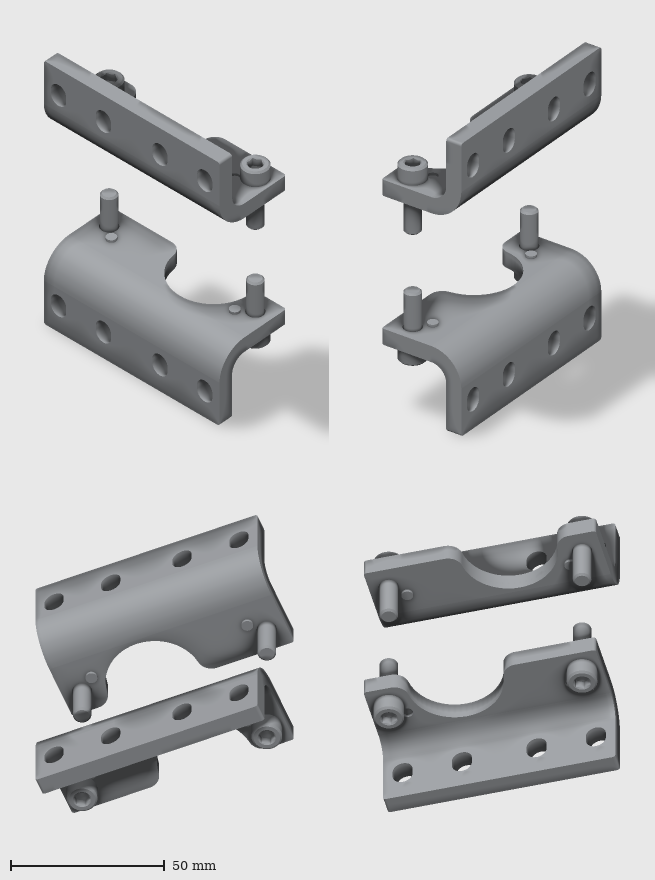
import cadquery as cq
import math


total_height = 110.0
width = 78.0
depth = 32.0

leg_height = 30.0
thickness = 6.0
inner_bend_radius = 5.9
corner_radius = 1.0

slot_width = 6.7
slot_length = 8.7
slot_from_leg_end = 11.0
outer_slot_x = 32.5
inner_slot_x = 12.5

notch_radius = 16.1
notch_offset = 9.0
notch_depth = 18.6
notch_lip_radius = 5.0

stud_diameter = 3.8
stud_height = 1.0
stud_x = 27.4
stud_from_edge = 12.2

screw_x = outer_slot_x
screw_from_edge = 7.8
clearance_diameter = 6.6
shaft_diameter = 6.0
shaft_length = 20.0
shaft_chamfer = 0.7
head_diameter = 10.0
head_height = 6.0
head_chamfer = 0.7
socket_sides = 6
socket_across_flats = 5.0
socket_depth = 3.3
socket_tip_angle = 120.0
mouth_diameter = 5.9
mouth_angle = 90.0

outer_bend_radius = inner_bend_radius + thickness
flange_bottom = total_height / 2 - leg_height
flange_top = flange_bottom + thickness
slot_z = total_height / 2 - slot_from_leg_end
stud_y = depth - stud_from_edge
screw_y = depth - screw_from_edge


def angle_profile():
    """Constant-thickness L section: upright leg, bend and horizontal flange, extruded along X."""
    bend_start_z = flange_bottom + outer_bend_radius
    bend_middle = outer_bend_radius * (1 - math.sqrt(0.5))
    inner_bend_middle = outer_bend_radius - inner_bend_radius * math.sqrt(0.5)
    section = (
        cq.Workplane("YZ")
        .moveTo(0, total_height / 2)
        .lineTo(0, bend_start_z)
        .threePointArc((bend_middle, flange_bottom + bend_middle), (outer_bend_radius, flange_bottom))
        .lineTo(depth, flange_bottom)
        .lineTo(depth, flange_top)
        .lineTo(outer_bend_radius, flange_top)
        .threePointArc((inner_bend_middle, flange_bottom + inner_bend_middle), (thickness, bend_start_z))
        .lineTo(thickness, total_height / 2)
        .close()
    )
    plate = section.extrude(width / 2, both=True)
    flange_corners = plate.faces(">Y").edges("|Z")
    leg_corners = plate.faces(">Z").edges("|Y")
    return flange_corners.add(leg_corners).fillet(corner_radius)


def notch_cutter():
    """Circular notch whose two lips roll smoothly into the free edge of the flange."""
    center_y = depth - notch_depth + notch_radius
    lip_y = depth - notch_lip_radius
    center_distance = notch_radius + notch_lip_radius
    lip_reach = math.sqrt(center_distance**2 - (lip_y - center_y) ** 2)
    tangent_share = notch_radius / center_distance
    tangent_x = lip_reach * tangent_share
    tangent_y = center_y + (lip_y - center_y) * tangent_share
    edge_angle = math.pi / 2
    notch_angle = math.pi + math.atan2(lip_y - center_y, lip_reach)
    middle_angle = (edge_angle + notch_angle) / 2
    lip_middle_x = lip_reach + notch_lip_radius * math.cos(middle_angle)
    lip_middle_y = lip_y + notch_lip_radius * math.sin(middle_angle)
    return (
        cq.Workplane("XY", origin=(-notch_offset, 0, flange_bottom))
        .moveTo(lip_reach, depth)
        .threePointArc((lip_middle_x, lip_middle_y), (tangent_x, tangent_y))
        .threePointArc((0, depth - notch_depth), (-tangent_x, tangent_y))
        .threePointArc((-lip_middle_x, lip_middle_y), (-lip_reach, depth))
        .close()
        .extrude(thickness)
    )


def flange_cylinders(x, y, bottom_z, diameter, height):
    """Two upright cylinders, mirrored about the middle of the bracket."""
    return (
        cq.Workplane("XY", origin=(0, 0, bottom_z))
        .pushPoints([(-x, y), (x, y)])
        .circle(diameter / 2)
        .extrude(height)
    )


def make_bracket():
    """Upper angle bracket with slots, notch, screw holes and half-punched studs."""
    slots = (
        cq.Workplane("XZ")
        .pushPoints([(x, slot_z) for x in (-outer_slot_x, -inner_slot_x, inner_slot_x, outer_slot_x)])
        .slot2D(slot_length, slot_width, 90)
        .extrude(-thickness)
    )
    screw_holes = flange_cylinders(screw_x, screw_y, flange_bottom, clearance_diameter, thickness)
    studs = flange_cylinders(stud_x, stud_y, flange_bottom - stud_height, stud_diameter, stud_height)
    stud_recesses = flange_cylinders(stud_x, stud_y, flange_top - stud_height, stud_diameter, stud_height)
    return (
        angle_profile()
        .cut(slots)
        .cut(notch_cutter())
        .cut(screw_holes)
        .cut(stud_recesses)
        .union(studs)
    )


def socket_cutter():
    """Hexagon socket with a conical bottom and a countersunk mouth, opening at the head top."""
    hexagon_radius = socket_across_flats / math.sqrt(3)
    tip_depth = hexagon_radius / math.tan(math.radians(socket_tip_angle / 2))
    mouth_depth = mouth_diameter / 2 / math.tan(math.radians(mouth_angle / 2))
    hexagon = (
        cq.Workplane("XY", origin=(0, 0, head_height))
        .polygon(socket_sides, 2 * hexagon_radius)
        .extrude(-socket_depth)
        .rotate((0, 0, 0), (0, 0, 1), 180 / socket_sides)
    )
    tip = cq.Solid.makeCone(
        hexagon_radius, 0, tip_depth, cq.Vector(0, 0, head_height - socket_depth), cq.Vector(0, 0, -1)
    )
    mouth = cq.Solid.makeCone(
        mouth_diameter / 2, 0, mouth_depth, cq.Vector(0, 0, head_height), cq.Vector(0, 0, -1)
    )
    return hexagon.union(cq.Workplane(tip)).union(cq.Workplane(mouth))


def make_screw(x):
    """Socket head screw pointing down, its head resting on the upper bracket's flange."""
    head = cq.Workplane("XY").circle(head_diameter / 2).extrude(head_height)
    head = head.faces(">Z").edges().chamfer(head_chamfer)
    shaft = cq.Workplane("XY").circle(shaft_diameter / 2).extrude(-shaft_length)
    shaft = shaft.faces("<Z").edges().chamfer(shaft_chamfer)
    screw = head.union(shaft).cut(socket_cutter())
    return screw.translate((x, screw_y, flange_top))


bodies = []
for turn in (0, 180):
    bracket = make_bracket().rotate((0, 0, 0), (0, 1, 0), turn)
    bodies.append(bracket.solids().val())
    for x in (-screw_x, screw_x):
        screw = make_screw(x).rotate((0, 0, 0), (0, 1, 0), turn)
        bodies.append(screw.solids().val())

result = cq.Compound.makeCompound(bodies)